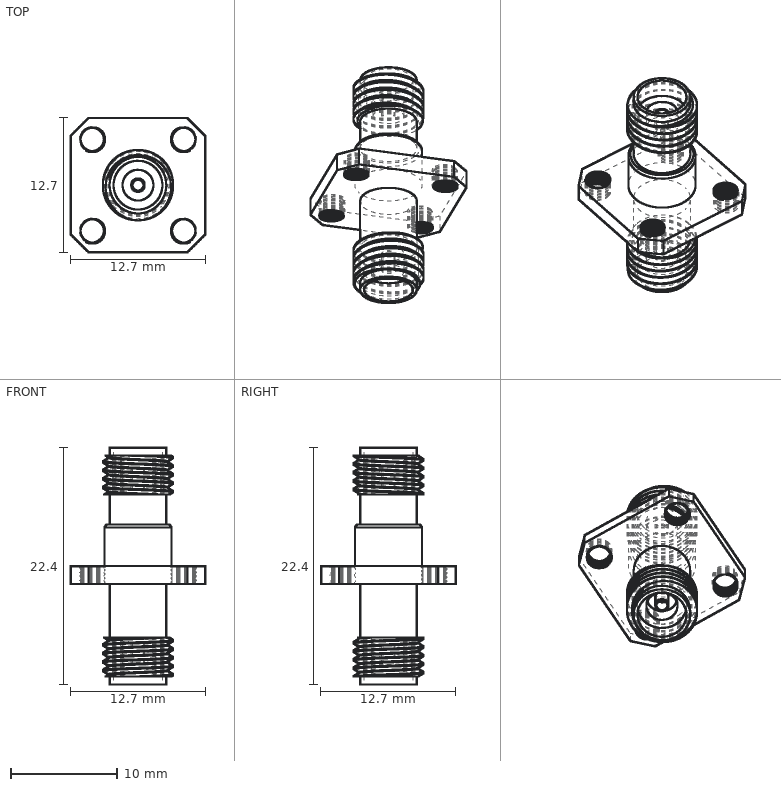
import cadquery as cq
import math

half_length = 11.18
barrel_diameter = 5.35

flange_width = 12.7
flange_thickness = 1.7
flange_corner_cut = 1.7
hole_spacing = 8.63

collar_diameter = 6.35
collar_height = 3.93
collar_chamfer_height = 0.27
collar_chamfer_width = 0.2

thread_start = 0.75
thread_length = 3.67
thread_pitch = 0.8
thread_crest_diameter = 6.64
thread_root_diameter = 5.68
thread_flat = 0.1
thread_crest_offset = 0.18

socket_diameter = 4.6
socket_depth = 1.92
inner_bore_diameter = 2.9
inner_bore_depth = 1.92
contact_diameter = 1.27
contact_hole_diameter = 1.03
contact_recess = 0.15

hole_diameter = 2.2
hole_thread_depth = 0.11
hole_thread_pitch = 0.38
hole_groove_mouth = 0.27
hole_groove_root = 0.07

overlap = 0.02


def cylinder(diameter, bottom, height):
    return cq.Workplane("XY").workplane(offset=bottom).circle(diameter / 2).extrude(height)


def helical_sweep(base_radius, tip_radius, base_width, tip_width, pitch, bottom, height):
    """Right-hand helical rib whose profile starts on +X, centred on Z = bottom."""
    helix = cq.Wire.makeHelix(pitch, height, base_radius).translate(cq.Vector(0, 0, bottom))
    profile = (
        cq.Workplane("XZ")
        .moveTo(base_radius, bottom - base_width / 2)
        .lineTo(tip_radius, bottom - tip_width / 2)
        .lineTo(tip_radius, bottom + tip_width / 2)
        .lineTo(base_radius, bottom + base_width / 2)
        .close()
    )
    return profile.sweep(cq.Workplane(obj=helix), isFrenet=True)


def lower_thread():
    """Thread of the lower end, trimmed flat at both faces."""
    bottom = -half_length + thread_start
    root_radius = thread_root_diameter / 2
    crest_radius = thread_crest_diameter / 2
    root_width = thread_pitch - thread_flat
    flank_slope = (root_width - thread_flat) / (crest_radius - root_radius)
    turns = math.ceil(thread_length / thread_pitch) + 2
    ridge = helical_sweep(
        root_radius - overlap,
        crest_radius,
        root_width + overlap * flank_slope,
        thread_flat,
        thread_pitch,
        bottom + thread_crest_offset - thread_pitch,
        turns * thread_pitch,
    )
    envelope = cylinder(2 * thread_crest_diameter, bottom, thread_length)
    core = cylinder(thread_root_diameter, bottom, thread_length)
    return core.union(ridge.intersect(envelope))


def lower_socket():
    """Space removed from the lower end, leaving the tubular centre contact."""
    socket_floor = -half_length + socket_depth
    contact_tip = socket_floor + contact_recess
    contact_length = inner_bore_depth - contact_recess
    contact = cylinder(contact_diameter, contact_tip, contact_length)
    contact = contact.cut(cylinder(contact_hole_diameter, contact_tip, contact_length))
    socket = cylinder(socket_diameter, -half_length, socket_depth)
    inner_bore = cylinder(inner_bore_diameter, socket_floor, inner_bore_depth)
    return socket.union(inner_bore).cut(contact)


def flange():
    return (
        cq.Workplane("XY")
        .rect(flange_width, flange_width)
        .extrude(-flange_thickness)
        .edges("|Z")
        .chamfer(flange_corner_cut)
    )


def collar():
    return (
        cylinder(collar_diameter, 0, collar_height)
        .faces(">Z")
        .edges()
        .chamfer(collar_chamfer_height, collar_chamfer_width)
    )


def threaded_hole():
    """Through-hole cutter on the Z axis; its groove leaves the top face on +X."""
    radius = hole_diameter / 2
    turns = math.ceil(flange_thickness / hole_thread_pitch) + 1
    groove = helical_sweep(
        radius - overlap,
        radius + hole_thread_depth,
        hole_groove_mouth + overlap,
        hole_groove_root,
        hole_thread_pitch,
        -turns * hole_thread_pitch,
        (turns + 1) * hole_thread_pitch,
    )
    slab = cylinder(2 * hole_diameter, -flange_thickness, flange_thickness)
    return cylinder(hole_diameter, -flange_thickness, flange_thickness).union(groove.intersect(slab))


thread = lower_thread()
socket = lower_socket()
body = cylinder(barrel_diameter, -half_length, 2 * half_length).union(flange()).union(collar())
body = body.union(thread).union(thread.mirror("XY"))
body = body.cut(socket).cut(socket.mirror("XY"))

left_hole = threaded_hole()
right_hole = left_hole.mirror("YZ")
for y in (-hole_spacing / 2, hole_spacing / 2):
    body = body.cut(left_hole.translate((-hole_spacing / 2, y, 0)))
    body = body.cut(right_hole.translate((hole_spacing / 2, y, 0)))

result = body